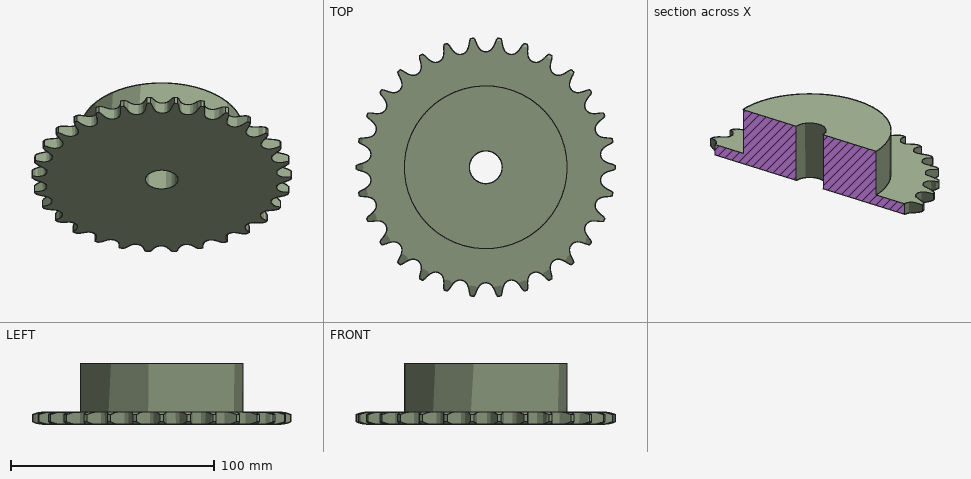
import cadquery as cq
import math

tooth_count = 30
chain_pitch = 12.7
outer_diameter = 127.5
plate_thickness = 6.0
total_height = 30.0
hub_diameter = 80.0
bore_diameter = 16.0

roller_diameter = 7.75
seat_clearance = 0.038
seat_radius = 0.5025 * roller_diameter + seat_clearance
working_offset = 0.8 * roller_diameter
topping_offset = 1.4 * roller_diameter
seat_half_angle = math.radians(55 - 60 / tooth_count)
working_angle = math.radians(18 - 56 / tooth_count)
topping_angle = math.radians(17 - 64 / tooth_count)
working_radius = seat_radius + working_offset
straight_length = topping_offset * math.sin(topping_angle) - working_offset * math.sin(working_angle)
topping_radius = (
    working_offset * math.cos(working_angle) + topping_offset * math.cos(topping_angle) - working_radius
)

relief_radius = 13.0
relief_depth = 1.3

outer_radius = outer_diameter / 2
half_pitch_angle = math.pi / tooth_count
pitch_radius = chain_pitch / (2 * math.sin(half_pitch_angle))


def polar(radius, angle):
    """Point in the plate plane at a radius and angle about the sprocket axis."""
    return (radius * math.cos(angle), radius * math.sin(angle))


def arc_point(centre, radius, turn):
    """Point on a gap curve, turned about its centre from the inward direction."""
    return (centre[0] - radius * math.cos(turn), centre[1] + radius * math.sin(turn))


def gap_side():
    """Points along one side of a gap opening along +X, from its bottom out to the tooth tip."""
    seat_centre = (pitch_radius, 0)
    working_centre = arc_point(seat_centre, -working_offset, seat_half_angle)
    flank_turn = seat_half_angle + working_angle
    working_end = arc_point(working_centre, working_radius, flank_turn)
    straight_end = (
        working_end[0] + straight_length * math.sin(flank_turn),
        working_end[1] + straight_length * math.cos(flank_turn),
    )
    topping_centre = arc_point(straight_end, topping_radius, flank_turn)
    centre_distance = math.hypot(*topping_centre)
    centre_angle = math.atan2(topping_centre[1], topping_centre[0])
    tip_offset_angle = math.acos(
        (outer_radius**2 + centre_distance**2 - topping_radius**2) / (2 * outer_radius * centre_distance)
    )
    tip = polar(outer_radius, centre_angle - tip_offset_angle)
    tip_turn = math.atan2(topping_centre[1] - tip[1], tip[0] - topping_centre[0])
    topping_middle = arc_point(topping_centre, -topping_radius, (flank_turn + tip_turn) / 2)
    return {
        "seat_bottom": arc_point(seat_centre, seat_radius, 0),
        "seat_end": arc_point(seat_centre, seat_radius, seat_half_angle),
        "working_middle": arc_point(working_centre, working_radius, seat_half_angle + working_angle / 2),
        "working_end": working_end,
        "straight_end": straight_end,
        "topping_middle": topping_middle,
        "tip": tip,
    }


def turned(point, angle, side):
    """Gap point placed at a gap angle, on the leading (+1) or trailing (-1) side."""
    point_angle = angle + side * math.atan2(point[1], point[0])
    return polar(math.hypot(*point), point_angle)


def tooth_outline():
    """Closed outline of the plate, one gap and one tooth tip per step."""
    side_points = gap_side()
    first_gap_angle = half_pitch_angle
    outline = cq.Workplane("XY").moveTo(*turned(side_points["tip"], first_gap_angle, -1))
    for gap in range(tooth_count):
        gap_angle = first_gap_angle + 2 * half_pitch_angle * gap
        trailing = {name: turned(point, gap_angle, -1) for name, point in side_points.items()}
        leading = {name: turned(point, gap_angle, 1) for name, point in side_points.items()}
        next_tip = turned(side_points["tip"], gap_angle + 2 * half_pitch_angle, -1)
        outline = (
            outline.threePointArc(trailing["topping_middle"], trailing["straight_end"])
            .lineTo(*trailing["working_end"])
            .threePointArc(trailing["working_middle"], trailing["seat_end"])
            .threePointArc(leading["seat_bottom"], leading["seat_end"])
            .threePointArc(leading["working_middle"], leading["working_end"])
            .lineTo(*leading["straight_end"])
            .threePointArc(leading["topping_middle"], leading["tip"])
            .threePointArc(polar(outer_radius, gap_angle + half_pitch_angle), next_tip)
        )
    return outline.close()


def relieved_disc():
    """Disc whose rim is relieved by a tangent arc on both faces."""
    relief_width = math.sqrt(relief_radius**2 - (relief_radius - relief_depth) ** 2)
    face_radius = outer_radius - relief_width
    half_relief = math.asin(relief_width / relief_radius) / 2
    middle_radius = face_radius + relief_radius * math.sin(half_relief)
    middle_drop = relief_radius * (1 - math.cos(half_relief))
    return (
        cq.Workplane("XZ")
        .lineTo(face_radius, 0)
        .threePointArc((middle_radius, middle_drop), (outer_radius, relief_depth))
        .lineTo(outer_radius, plate_thickness - relief_depth)
        .threePointArc(
            (middle_radius, plate_thickness - middle_drop),
            (face_radius, plate_thickness),
        )
        .lineTo(0, plate_thickness)
        .close()
        .revolve(360, (0, 0, 0), (0, 1, 0))
    )


def hub():
    """Plain round hub standing on the upper face of the plate."""
    return (
        cq.Workplane("XY")
        .workplane(offset=plate_thickness)
        .circle(hub_diameter / 2)
        .extrude(total_height - plate_thickness)
    )


def bore():
    """Cutter for the bore through the plate and hub."""
    return cq.Workplane("XY").circle(bore_diameter / 2).extrude(total_height)


toothed_plate = tooth_outline().extrude(plate_thickness).intersect(relieved_disc())
result = toothed_plate.union(hub()).cut(bore())